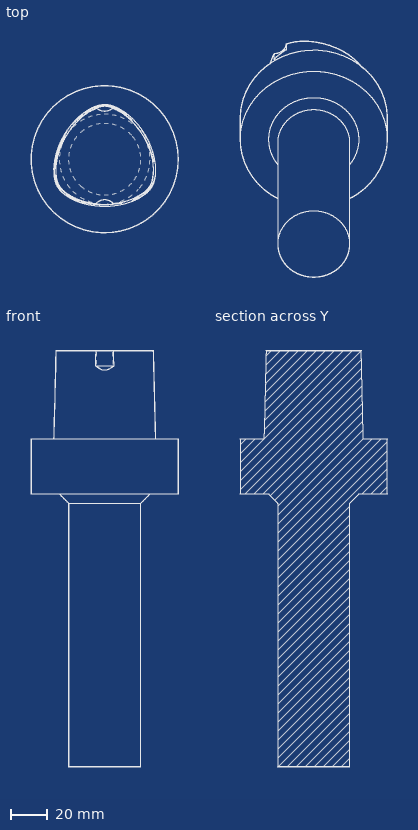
import cadquery as cq
import math

total_length = 226.0
taper_length = 48.0
flange_thickness = 30.0
neck_height = 5.0

flange_diameter = 80.0
shaft_diameter = 39.0
neck_top_diameter = shaft_diameter + 2 * neck_height

taper_base_width = 55.4
taper_ratio = 1 / 20
taper_tip_width = taper_base_width - taper_ratio * taper_length
lobe_eccentricity = 2.0
profile_points = 48

groove_radius = 6.3
groove_depth = 2.5
groove_length = 8.4
groove_floor_half_angle = 50.0
groove_cone_height = groove_radius / math.tan(math.radians(groove_floor_half_angle))

flange_top = total_length - taper_length
flange_bottom = flange_top - flange_thickness
shaft_top = flange_bottom - neck_height


def polygon_point(width, angle):
    """Point of the three-lobed curve whose outward normal has the given angle."""
    support = width / 2 - lobe_eccentricity * math.sin(3 * angle)
    support_slope = -3 * lobe_eccentricity * math.cos(3 * angle)
    x = support * math.cos(angle) - support_slope * math.sin(angle)
    y = support * math.sin(angle) + support_slope * math.cos(angle)
    return (x, y)


def polygon_outline(width):
    step = 2 * math.pi / profile_points
    return [polygon_point(width, i * step) for i in range(profile_points)]


def make_turned_body():
    profile = [
        (0, 0),
        (shaft_diameter / 2, 0),
        (shaft_diameter / 2, shaft_top),
        (neck_top_diameter / 2, flange_bottom),
        (flange_diameter / 2, flange_bottom),
        (flange_diameter / 2, flange_top),
        (0, flange_top),
    ]
    return cq.Workplane("XZ").polyline(profile).close().revolve(360, (0, 0), (0, 1))


def make_taper():
    return (
        cq.Workplane("XY", origin=(0, 0, flange_top))
        .spline(polygon_outline(taper_base_width), periodic=True).close()
        .workplane(offset=taper_length)
        .spline(polygon_outline(taper_tip_width), periodic=True).close()
        .loft(ruled=True)
    )


def make_groove_cutter(axis_y):
    floor_rim = total_length - groove_length
    profile = [
        (0, floor_rim - groove_cone_height),
        (groove_radius, floor_rim),
        (groove_radius, total_length),
        (0, total_length),
    ]
    cutter = cq.Workplane("XZ").polyline(profile).close().revolve(360, (0, 0), (0, 1))
    return cutter.translate((0, axis_y, 0))


lobe_tip_y = taper_tip_width / 2 + lobe_eccentricity
flat_tip_y = -taper_tip_width / 2 + lobe_eccentricity
axis_offset = groove_radius - groove_depth

result = make_turned_body().union(make_taper())
for groove_axis_y in (lobe_tip_y + axis_offset, flat_tip_y - axis_offset):
    result = result.cut(make_groove_cutter(groove_axis_y))